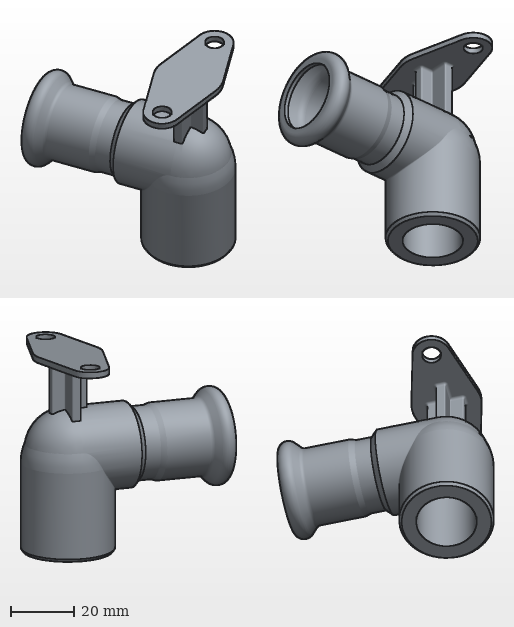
import cadquery as cq
import math

overall_length = 67.0
overall_height = 65.0
axis_height = 32.95

barrel_radius = 30.0 / 2
barrel_x = overall_length - barrel_radius
shoulder_height = 29.15
barrel_chamfer_height = 1.1
barrel_chamfer_inset = 0.8
joint_fillet = 0.35

bead_radius = 31.7 / 2
bead_round = 3.0
bead_flank_end = 7.1
tube_radius = 25.0 / 2
tube_start = 8.45
tube_end = 23.05
neck_radius = 23.8 / 2
neck_start = 25.0
neck_fillet = 0.55
neck_end = 30.15
body_radius = 27.8 / 2

mouth_radius = 11.05
mouth_depth = tube_end
socket_bore_radius = 9.4
barrel_bore_radius = 9.6

plate_length = 51.9
plate_width = 22.3
plate_thickness = 2.0
plate_end_radius = 6.0
plate_hole_diameter = 6.0
plate_bottom = overall_height - plate_thickness

post_size_x = 11.9
post_size_y = 15.95
rib_thickness = 3.1
rib_rounding = 0.5
root_fillet = 0.35
post_top_fillet = 0.95


def cylinder_z(radius, bottom, top):
    return cq.Workplane("XY", origin=(barrel_x, 0, bottom)).circle(radius).extrude(top - bottom)


def cylinder_x(radius, start, end):
    return cq.Workplane("YZ", origin=(start, 0, axis_height)).circle(radius).extrude(end - start)


def ball(radius, height):
    return cq.Workplane("XY", origin=(barrel_x, 0, height)).sphere(radius)


def make_barrel():
    """Chamfered cylinder with a spherical top."""
    profile = (
        cq.Workplane("XZ", origin=(barrel_x, 0, 0))
        .lineTo(barrel_radius - barrel_chamfer_inset, 0)
        .lineTo(barrel_radius, barrel_chamfer_height)
        .lineTo(barrel_radius, shoulder_height)
        .threePointArc(
            (barrel_radius * math.cos(math.pi / 4), shoulder_height + barrel_radius * math.sin(math.pi / 4)),
            (0, shoulder_height + barrel_radius),
        )
        .close()
    )
    return profile.revolve(360, (0, 0, 0), (0, 1, 0))


def make_socket():
    """Beaded tube, neck and body, ending in a spherical elbow cap."""
    face_radius = bead_radius - bead_round
    diagonal = bead_round * math.sin(math.pi / 4)
    flank_start = bead_round + diagonal
    flank_end_radius = face_radius + diagonal - (bead_flank_end - flank_start)
    body_start = neck_end + body_radius - neck_radius
    cap_diagonal = body_radius * math.sin(math.pi / 4)
    profile = (
        cq.Workplane("XZ", origin=(0, 0, axis_height))
        .lineTo(0, face_radius)
        .threePointArc((bead_round, bead_radius), (flank_start, face_radius + diagonal))
        .lineTo(bead_flank_end, flank_end_radius)
        .tangentArcPoint((tube_start, tube_radius), relative=False)
        .lineTo(tube_end, tube_radius)
        .lineTo(neck_start, neck_radius)
        .lineTo(neck_end, neck_radius)
        .lineTo(body_start, body_radius)
        .lineTo(barrel_x, body_radius)
        .threePointArc((barrel_x + cap_diagonal, cap_diagonal), (barrel_x + body_radius, 0))
        .close()
    )
    socket = profile.revolve(360, (0, 0, 0), (1, 0, 0))
    neck_step = cq.selectors.BoxSelector(
        (tube_end - neck_fillet, -tube_radius, axis_height - tube_radius),
        (neck_start + neck_fillet, tube_radius, axis_height + tube_radius),
    )
    return socket.edges("%CIRCLE").edges(neck_step).fillet(neck_fillet)


def make_plate():
    """Lozenge with tangent sides joining a central round and two end rounds."""
    hole_offset = plate_length / 2 - plate_end_radius
    middle_radius = plate_width / 2
    slope = math.asin((middle_radius - plate_end_radius) / hole_offset)
    middle_x = middle_radius * math.cos(slope)
    middle_y = middle_radius * math.sin(slope)
    end_x = plate_end_radius * math.cos(slope)
    end_y = hole_offset + plate_end_radius * math.sin(slope)
    return (
        cq.Workplane("XY", origin=(barrel_x, 0, plate_bottom))
        .moveTo(middle_x, -middle_y)
        .threePointArc((middle_radius, 0), (middle_x, middle_y))
        .lineTo(end_x, end_y)
        .threePointArc((0, plate_length / 2), (-end_x, end_y))
        .lineTo(-middle_x, middle_y)
        .threePointArc((-middle_radius, 0), (-middle_x, -middle_y))
        .lineTo(-end_x, -end_y)
        .threePointArc((0, -plate_length / 2), (end_x, -end_y))
        .close()
        .pushPoints([(0, hole_offset), (0, -hole_offset)])
        .circle(plate_hole_diameter / 2)
        .extrude(plate_thickness)
    )


def make_rib(size_x, size_y):
    """Upright bar with rounded corners, from the socket axis to the plate."""
    rib = cq.Workplane("XY", origin=(barrel_x, 0, axis_height)).rect(size_x, size_y)
    return rib.extrude(plate_bottom - axis_height).edges("|Z").fillet(rib_rounding)


def make_mount():
    """Plate on its cross-shaped post, filleted where they meet."""
    post = make_rib(post_size_x, rib_thickness).union(make_rib(rib_thickness, post_size_y))
    half_rib = rib_thickness / 2 + root_fillet
    root_zone = cq.selectors.BoxSelector(
        (barrel_x - half_rib, -half_rib, axis_height),
        (barrel_x + half_rib, half_rib, plate_bottom),
    )
    post = post.edges("|Z").edges(root_zone).fillet(root_fillet)
    mount = make_plate().union(post)
    margin = 0.1
    junction = cq.selectors.BoxSelector(
        (barrel_x - post_size_x / 2 - margin, -post_size_y / 2 - margin, plate_bottom - margin),
        (barrel_x + post_size_x / 2 + margin, post_size_y / 2 + margin, plate_bottom + margin),
        boundingbox=True,
    )
    return mount.edges(junction).fillet(post_top_fillet)


def make_mouth():
    """Tube bore whose seal groove follows the bead at a constant wall thickness."""
    face_radius = bead_radius - bead_round
    wall = tube_radius - mouth_radius
    groove_round = bead_round - wall
    groove_diagonal = groove_round * math.sin(math.pi / 4)
    bend_radius = (tube_start - bead_flank_end) / math.sin(math.pi / 4) + wall
    bend_diagonal = bend_radius * math.sin(math.pi / 4)
    bend_start_radius = mouth_radius + bend_radius - bend_diagonal
    profile = (
        cq.Workplane("XZ", origin=(0, 0, axis_height))
        .lineTo(0, mouth_radius)
        .lineTo(wall, mouth_radius)
        .lineTo(wall, face_radius)
        .threePointArc(
            (bead_round, face_radius + groove_round),
            (bead_round + groove_diagonal, face_radius + groove_diagonal),
        )
        .lineTo(tube_start - bend_diagonal, bend_start_radius)
        .tangentArcPoint((tube_start, mouth_radius), relative=False)
        .lineTo(mouth_depth, mouth_radius)
        .lineTo(mouth_depth, 0)
        .close()
    )
    return profile.revolve(360, (0, 0, 0), (1, 0, 0))


def make_bores():
    """Grooved mouth, round-ended socket bore and slightly wider barrel bore."""
    bore = cylinder_x(socket_bore_radius, 0, barrel_x).union(ball(socket_bore_radius, axis_height))
    bore = bore.union(make_mouth())
    return bore.union(cylinder_z(barrel_bore_radius, 0, axis_height))


def make_elbow():
    """Barrel and socket, filleted along the curve where they meet."""
    elbow = make_barrel().union(make_socket())
    return elbow.edges("not (%CIRCLE or %LINE)").fillet(joint_fillet)


result = make_elbow().union(make_mount()).cut(make_bores())